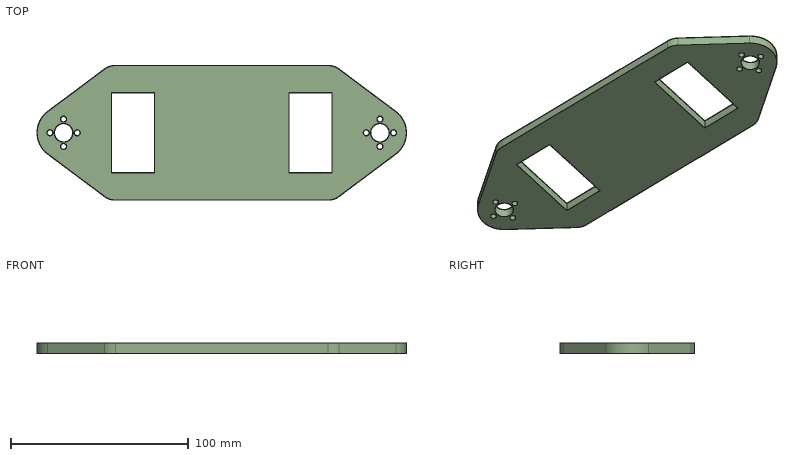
import cadquery as cq
import math

LENGTH = 208.29
WIDTH = 76.0
THICKNESS = 6.0
TIP_RADIUS = 15.0
SHOULDER_RADIUS = 10.0
STRAIGHT_EDGE_LENGTH = 120.0

WINDOW_LENGTH = 24.0
WINDOW_WIDTH = 45.0
WINDOW_SPACING = 100.0

BORE_DIAMETER = 10.3
SCREW_DIAMETER = 3.2
SCREW_CIRCLE_RADIUS = 7.7
SCREW_COUNT = 4

TIP_CENTER_X = LENGTH / 2 - TIP_RADIUS
SHOULDER_CENTER_X = STRAIGHT_EDGE_LENGTH / 2
SHOULDER_CENTER_Y = WIDTH / 2 - SHOULDER_RADIUS


def point_on_arc(center_x, center_y, radius, angle):
    """Point at an angle (radians) on a circle."""
    return center_x + radius * math.cos(angle), center_y + radius * math.sin(angle)


def taper_normal_angle():
    """Direction of the outward normal of the line tangent to shoulder and tip arcs."""
    run = TIP_CENTER_X - SHOULDER_CENTER_X
    drop = SHOULDER_CENTER_Y
    radius_change = TIP_RADIUS - SHOULDER_RADIUS
    return math.atan2(run, drop) + math.asin(radius_change / math.hypot(run, drop))


def make_plate():
    """Elongated plate with straight long edges, tapered ends and rounded tips."""
    normal = taper_normal_angle()
    shoulder_middle = (normal + math.pi / 2) / 2
    shoulder = (SHOULDER_CENTER_X, SHOULDER_CENTER_Y, SHOULDER_RADIUS)

    edge_x, edge_y = SHOULDER_CENTER_X, WIDTH / 2
    mid_x, mid_y = point_on_arc(*shoulder, shoulder_middle)
    taper_x, taper_y = point_on_arc(*shoulder, normal)
    tip_x, tip_y = point_on_arc(TIP_CENTER_X, 0, TIP_RADIUS, normal)

    outline = (
        cq.Workplane("XY")
        .moveTo(-edge_x, edge_y)
        .lineTo(edge_x, edge_y)
        .threePointArc((mid_x, mid_y), (taper_x, taper_y))
        .lineTo(tip_x, tip_y)
        .threePointArc((LENGTH / 2, 0), (tip_x, -tip_y))
        .lineTo(taper_x, -taper_y)
        .threePointArc((mid_x, -mid_y), (edge_x, -edge_y))
        .lineTo(-edge_x, -edge_y)
        .threePointArc((-mid_x, -mid_y), (-taper_x, -taper_y))
        .lineTo(-tip_x, -tip_y)
        .threePointArc((-LENGTH / 2, 0), (-tip_x, tip_y))
        .lineTo(-taper_x, taper_y)
        .threePointArc((-mid_x, mid_y), (-edge_x, edge_y))
        .close()
    )
    return outline.extrude(THICKNESS)


def cut_windows(plate):
    """Cut the two rectangular through windows."""
    windows = (
        cq.Workplane("XY")
        .pushPoints([(-WINDOW_SPACING / 2, 0), (WINDOW_SPACING / 2, 0)])
        .rect(WINDOW_LENGTH, WINDOW_WIDTH)
        .extrude(THICKNESS)
    )
    return plate.cut(windows)


def cut_tip_holes(plate, center_x):
    """Cut a central bore and its ring of screw holes through one tip."""
    bore = cq.Workplane("XY").center(center_x, 0).circle(BORE_DIAMETER / 2).extrude(THICKNESS)
    screws = (
        cq.Workplane("XY")
        .center(center_x, 0)
        .polarArray(SCREW_CIRCLE_RADIUS, 0, 360, SCREW_COUNT)
        .circle(SCREW_DIAMETER / 2)
        .extrude(THICKNESS)
    )
    return plate.cut(bore).cut(screws)


result = cut_windows(make_plate())
for tip_center_x in (-TIP_CENTER_X, TIP_CENTER_X):
    result = cut_tip_holes(result, tip_center_x)